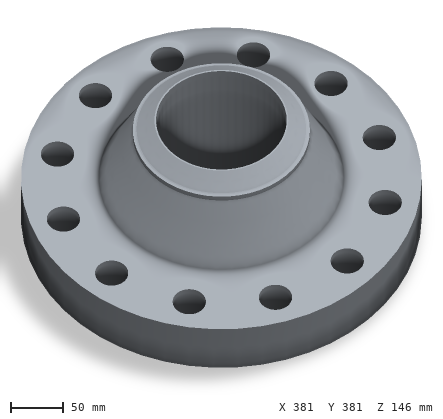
import cadquery as cq
import math

flange_diameter = 381.0
flange_thickness = 55.5
raised_face_diameter = 216.0
raised_face_height = 6.5
overall_height = 146.0

hub_base_diameter = 234.5
hub_height = 64.5
neck_diameter = 168.5
bore_diameter = 124.0

land_width = 1.5
steep_bevel_reach = 19.0
steep_bevel_angle = 37.5
shallow_bevel_angle = 10.0

blend_radius = 3.0

bolt_count = 12
bolt_circle_diameter = 317.3
bolt_hole_diameter = 31.5

bore_radius = bore_diameter / 2
neck_radius = neck_diameter / 2
hub_base_radius = hub_base_diameter / 2
flange_top = raised_face_height + flange_thickness
hub_top = flange_top + hub_height

land_radius = bore_radius + land_width
bevel_break_radius = bore_radius + steep_bevel_reach
steep_bevel_drop = (bevel_break_radius - land_radius) * math.tan(math.radians(steep_bevel_angle))
shallow_bevel_drop = (neck_radius - bevel_break_radius) * math.tan(math.radians(shallow_bevel_angle))
bevel_break_height = overall_height - steep_bevel_drop
neck_top = bevel_break_height - shallow_bevel_drop


def make_body():
    """Revolve the half section of the flange, hub and neck about Z."""
    flange_radius = flange_diameter / 2
    raised_face_radius = raised_face_diameter / 2
    half_section = (
        cq.Workplane("XZ")
        .moveTo(bore_radius, 0)
        .lineTo(raised_face_radius, 0)
        .lineTo(raised_face_radius, raised_face_height)
        .lineTo(flange_radius, raised_face_height)
        .lineTo(flange_radius, flange_top)
        .lineTo(hub_base_radius, flange_top)
        .lineTo(neck_radius, hub_top)
        .lineTo(neck_radius, neck_top)
        .lineTo(bevel_break_radius, bevel_break_height)
        .lineTo(land_radius, overall_height)
        .lineTo(bore_radius, overall_height)
        .close()
    )
    return half_section.revolve(360, (0, 0, 0), (0, 1, 0))


def blend_circular_edge(body, radius, height):
    """Fillet the circular edge of the given radius at the given height."""
    margin = 0.05
    reach = radius + margin
    edge_box = cq.selectors.BoxSelector(
        (-reach, -reach, height - margin),
        (reach, reach, height + margin),
        boundingbox=True,
    )
    return body.edges(edge_box).fillet(blend_radius)


def drill_bolt_holes(body):
    """Cut the ring of through holes in the flange, the first one on the X axis."""
    holes = (
        cq.Workplane("XY")
        .workplane(offset=raised_face_height)
        .polarArray(bolt_circle_diameter / 2, 0, 360, bolt_count)
        .circle(bolt_hole_diameter / 2)
        .extrude(flange_thickness)
    )
    return body.cut(holes)


body = make_body()
body = blend_circular_edge(body, hub_base_radius, flange_top)
body = blend_circular_edge(body, bevel_break_radius, bevel_break_height)
result = drill_bolt_holes(body)